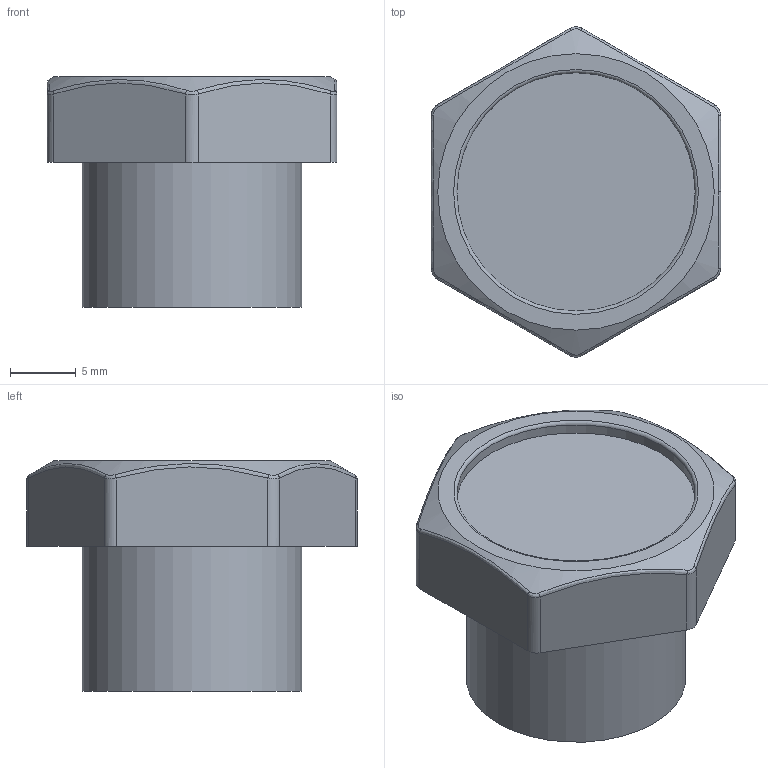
import cadquery as cq
import math

side_count = 6
across_flats = 22.0
head_height = 6.5
corner_radius = 1.0
shank_diameter = 16.66
shank_length = 11.0

top_face_diameter = 21.0
chamfer_angle = 30.0
crown_edge_radius = 0.3

recess_diameter = 18.1
recess_depth = 1.0
recess_rim_radius = 0.25

total_height = shank_length + head_height
half_side_angle = 180 / side_count
corner_distance = across_flats / 2 / math.cos(math.radians(half_side_angle))


def make_hexagon():
    """Hexagonal prism with two flats facing +X and -X and rounded vertical corners."""
    return (
        cq.Workplane("XY")
        .workplane(offset=shank_length)
        .transformed(rotate=(0, 0, half_side_angle))
        .polygon(side_count, 2 * corner_distance)
        .extrude(head_height)
        .edges("|Z")
        .fillet(corner_radius)
    )


def make_crown_envelope():
    """Solid of revolution whose cone trims the upper corners of the hexagon."""
    top_radius = top_face_diameter / 2
    cone_drop = (corner_distance - top_radius) * math.tan(math.radians(chamfer_angle))
    return (
        cq.Workplane("XZ")
        .moveTo(0, shank_length)
        .lineTo(corner_distance, shank_length)
        .lineTo(corner_distance, total_height - cone_drop)
        .lineTo(top_radius, total_height)
        .lineTo(0, total_height)
        .close()
        .revolve(360, (0, 0, 0), (0, 1, 0))
    )


def make_head():
    """Crowned hexagon with the edges between cone and side faces rounded."""
    head = make_hexagon().intersect(make_crown_envelope())
    crown_edges = head.faces("%CONE").edges().edges("not(%CIRCLE and >Z)")
    return crown_edges.fillet(crown_edge_radius)


def cut_recess(body):
    """Sink the round recess into the top face and round its rim."""
    recess = (
        cq.Workplane("XY")
        .workplane(offset=total_height - recess_depth)
        .circle(recess_diameter / 2)
        .extrude(recess_depth)
    )
    smallest_circle = cq.selectors.RadiusNthSelector(0)
    return body.cut(recess).faces(">Z").edges(smallest_circle).fillet(recess_rim_radius)


def make_shank():
    """Plain cylindrical shank standing on Z = 0 below the head."""
    return cq.Workplane("XY").circle(shank_diameter / 2).extrude(shank_length)


result = cut_recess(make_head().union(make_shank()))